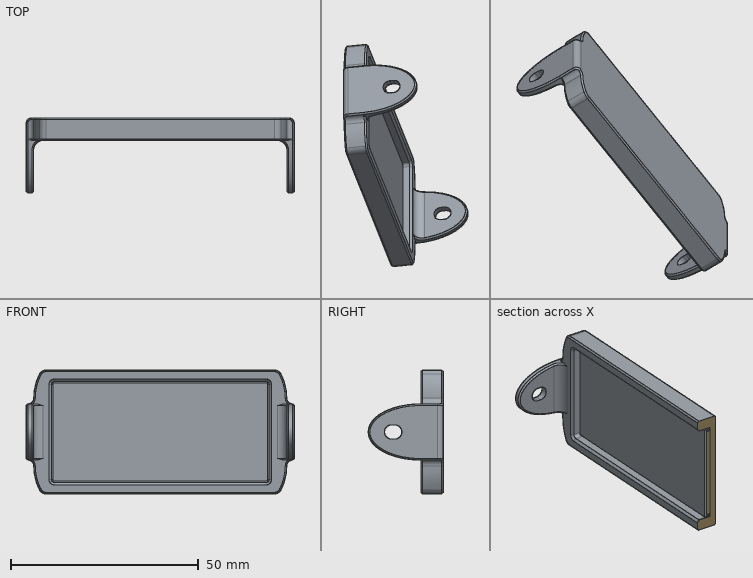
import cadquery as cq
import math

length = 71.4
height = 33.0
frame_depth = 6.0
side_x = 33.7
side_radius = 14.0
corner_radius = 2.0
edge_chamfer = 0.4

ear_thickness = 2.0
ear_height = 15.0
ear_reach = 14.0
ear_blend_radius = 1.5
ear_back_radius = 1.5
ear_root_radius = 2.5
slot_length = 4.6
slot_height = 3.7
slot_y = -7.35

recess_length = 58.0
recess_height = 26.9
recess_depth = 4.0
recess_radius = 0.85
recess_chamfer = 0.65

panel_gap = 0.4
panel_front_depth = 2.35
strip_thickness = 1.0

half_length = length / 2
half_height = height / 2
half_ear = ear_height / 2
ear_inner_x = half_length - ear_thickness


def frame_blank():
    """Plate with bowed sides that blend into the roots of the ears."""
    blend_z = half_ear + ear_blend_radius
    blend_x = side_x + ear_blend_radius
    blend_middle = ear_blend_radius * math.sqrt(0.5)
    bow_middle_z = (blend_z + half_height) / 2

    def bow_x(z):
        return side_x - side_radius + math.sqrt(side_radius**2 - (z - blend_z) ** 2)

    blank = (
        cq.Workplane("XZ")
        .moveTo(0, half_height)
        .lineTo(bow_x(half_height), half_height)
        .threePointArc((bow_x(bow_middle_z), bow_middle_z), (side_x, blend_z))
        .threePointArc((blend_x - blend_middle, blend_z - blend_middle), (blend_x, half_ear))
        .lineTo(half_length, half_ear)
        .lineTo(half_length, 0)
        .mirrorX()
        .mirrorY()
        .extrude(-frame_depth)
    )
    blank = blank.edges("|Y").edges(">Z or <Z").fillet(corner_radius)
    return blank.faces("<Y").edges().chamfer(edge_chamfer)


def ear_plate(start_x):
    """Plate with a half-ellipse tip and a straight part as deep as the frame."""
    return (
        cq.Workplane("YZ", origin=(start_x, 0, 0))
        .moveTo(frame_depth, half_ear)
        .lineTo(0, half_ear)
        .ellipseArc(ear_reach, half_ear, 90, 270, startAtCurrent=True)
        .lineTo(frame_depth, -half_ear)
        .close()
        .extrude(ear_thickness)
    )


def edges_at_both_ends(solid, x, y):
    """The two edges whose centres are nearest to (-x, y, 0) and (x, y, 0)."""
    left = solid.edges(cq.selectors.NearestToPointSelector((-x, y, 0)))
    right = solid.edges(cq.selectors.NearestToPointSelector((x, y, 0)))
    return left.add(right)


def add_ears(blank):
    """Join the ears, round their backs and roots, then chamfer their rims."""
    body = blank
    for start_x in (-half_length, ear_inner_x):
        body = body.union(ear_plate(start_x))
    body = edges_at_both_ends(body, half_length, frame_depth).fillet(ear_back_radius)
    body = edges_at_both_ends(body, ear_inner_x, 0).fillet(ear_root_radius)
    return body.edges("%ELLIPSE").chamfer(edge_chamfer)


def make_frame():
    slots = (
        cq.Workplane("YZ", origin=(-half_length, slot_y, 0))
        .slot2D(slot_length, slot_height)
        .extrude(length)
    )
    pocket = (
        cq.Workplane("XZ")
        .rect(recess_length, recess_height)
        .extrude(-recess_depth)
        .edges("|Y")
        .fillet(recess_radius)
    )
    frame = add_ears(frame_blank()).cut(slots).cut(pocket)
    recess_rim = frame.edges(cq.selectors.NearestToPointSelector((0, 0, recess_height / 2)))
    return recess_rim.chamfer(recess_chamfer)


def make_panel():
    """Plain plate on the recess floor with an even gap to the walls."""
    return (
        cq.Workplane("XZ", origin=(0, recess_depth, 0))
        .rect(recess_length - 2 * panel_gap, recess_height - 2 * panel_gap)
        .extrude(recess_depth - panel_front_depth)
    )


def make_strip(side):
    """Strip between the panel and one end wall, as long as the flat part of that wall."""
    centre_x = side * (recess_length - panel_gap) / 2
    strip_length = recess_height - 2 * recess_radius
    return (
        cq.Workplane("XZ", origin=(centre_x, recess_depth, 0))
        .rect(panel_gap, strip_length)
        .extrude(strip_thickness)
    )


frame = make_frame()
panel = make_panel()
strips = [make_strip(side) for side in (-1, 1)]

result = cq.Compound.makeCompound([frame.val(), panel.val(), *[strip.val() for strip in strips]])